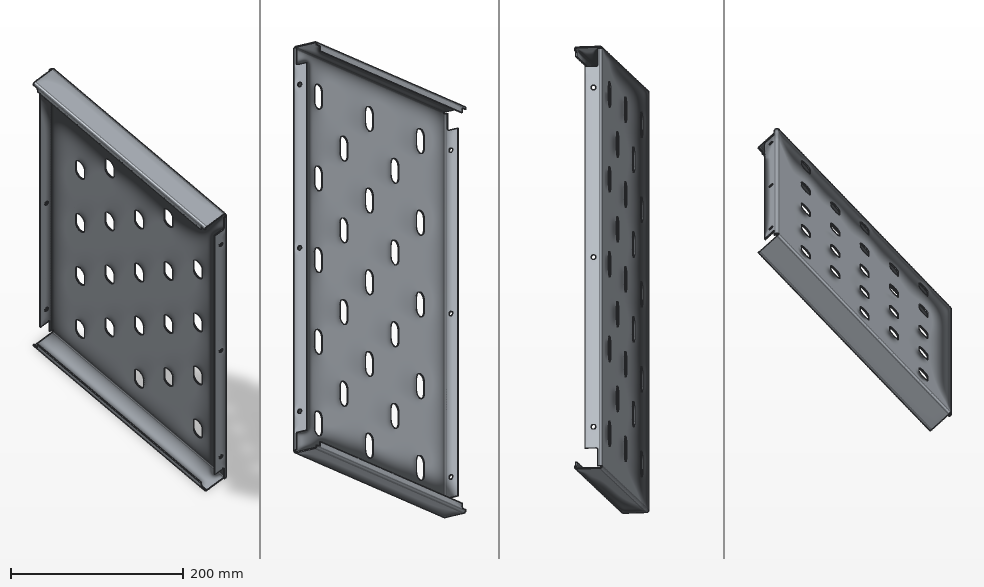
import cadquery as cq

WIDTH = 298.0
DEPTH = 33.0
HEIGHT = 498.0
SHEET = 1.5
BEND_RADIUS = 3.0
INNER_RADIUS = BEND_RADIUS - SHEET
RELIEF_FILLET = 2.0

SIDE_DEPTH = 20.0
SIDE_HEIGHT = HEIGHT - 2 * BEND_RADIUS
SIDE_END_GAP = 24.0
NECK_DEPTH = 5.0
PIN_DIAMETER = 5.5
PIN_SETBACK = 10.0
PIN_PITCH = 200.0

END_WIDTH = WIDTH - 2 * BEND_RADIUS
LIP_HEIGHT = 10.0
LIP_INSET = 7.0
LIP_SHOULDER = 4.0

SLOT_WIDTH = 15.0
SLOT_LENGTH = 30.0
SLOT_PITCH = 100.0
WIDE_ROWS = 5
WIDE_COLUMNS = 3


def make_side_channel():
    """Back panel with both side flanges, the flange ends cut back to a narrow neck."""
    outer = cq.Workplane("XY").box(WIDTH, SIDE_DEPTH, SIDE_HEIGHT, centered=(True, False, True))
    outer = outer.translate((0, -SIDE_DEPTH, 0)).edges("|Z and >Y").fillet(BEND_RADIUS)
    inner = cq.Workplane("XY").box(WIDTH - 2 * SHEET, SIDE_DEPTH, SIDE_HEIGHT, centered=(True, False, True))
    inner = inner.translate((0, -SIDE_DEPTH - SHEET, 0)).edges("|Z and >Y").fillet(INNER_RADIUS)
    channel = outer.cut(inner)

    relief = cq.Workplane("XY").box(WIDTH, SIDE_DEPTH, SIDE_END_GAP, centered=(True, False, False))
    relief = relief.translate((0, -SIDE_DEPTH - NECK_DEPTH, HEIGHT / 2 - SIDE_END_GAP))
    relief = relief.edges("|X and >Y and <Z").fillet(RELIEF_FILLET)
    return channel.cut(relief).cut(relief.mirror("XY"))


def make_end_channel():
    """Back panel with the top and bottom flanges and their return lips."""
    outer = cq.Workplane("XY").box(END_WIDTH, DEPTH, HEIGHT, centered=(True, False, True))
    outer = outer.translate((0, -DEPTH, 0)).edges("|X").fillet(BEND_RADIUS)
    inner = cq.Workplane("XY").box(
        END_WIDTH, DEPTH - 2 * SHEET, HEIGHT - 2 * SHEET, centered=(True, False, True)
    )
    inner = inner.translate((0, SHEET - DEPTH, 0)).edges("|X").fillet(INNER_RADIUS)
    opening_height = HEIGHT - 2 * LIP_HEIGHT
    opening = cq.Workplane("XY").box(END_WIDTH, BEND_RADIUS, opening_height, centered=(True, False, True))
    channel = outer.cut(inner).cut(opening.translate((0, -DEPTH, 0)))
    for side in (-1, 1):
        trim = make_lip_trim(side)
        channel = channel.cut(trim).cut(trim.mirror("XY"))
    return channel


def make_lip_trim(side):
    """Block that removes one end of the upper lip below its full-width shoulder."""
    height = LIP_HEIGHT - LIP_SHOULDER
    trim = cq.Workplane("XY").box(LIP_INSET, BEND_RADIUS, height)
    inner_side = "<X" if side > 0 else ">X"
    trim = trim.edges(f"|Y and >Z and {inner_side}").fillet(RELIEF_FILLET)
    return trim.translate((
        side * (END_WIDTH - LIP_INSET) / 2,
        BEND_RADIUS / 2 - DEPTH,
        HEIGHT / 2 - LIP_SHOULDER - height / 2,
    ))


def slot_centres():
    """Rows of three slots alternating with rows of two."""
    centres = []
    for row in range(2 * WIDE_ROWS - 1):
        columns = WIDE_COLUMNS - row % 2
        z = (row - (WIDE_ROWS - 1)) * SLOT_PITCH / 2
        for column in range(columns):
            centres.append(((column - (columns - 1) / 2) * SLOT_PITCH, z))
    return centres


def make_slots():
    slots = cq.Workplane("XZ").pushPoints(slot_centres()).slot2D(SLOT_LENGTH, SLOT_WIDTH, 90)
    return slots.extrude(SHEET, both=True)


def make_pin_holes():
    centres = [(-PIN_SETBACK, row * PIN_PITCH) for row in (-1, 0, 1)]
    return cq.Workplane("YZ").pushPoints(centres).circle(PIN_DIAMETER / 2).extrude(WIDTH, both=True)


tray = make_side_channel().union(make_end_channel())
result = tray.cut(make_slots()).cut(make_pin_holes())